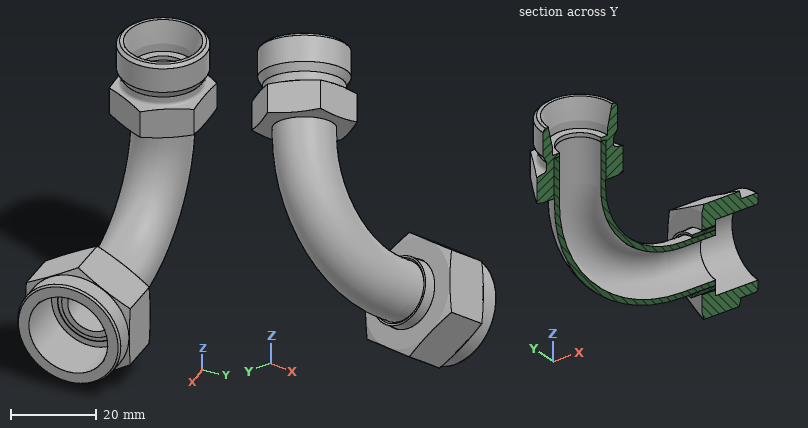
import cadquery as cq
import math


overall_length = 64.9
overall_height = 67.3

tube_diameter = 15.15
bore_diameter = 12.0
bend_radius = 30.0

stud_diameter = 22.0
stud_chamfer = 0.8
groove_diameter = 19.7
thread_depth = 7.35
groove_start_depth = 9.35
groove_end_depth = 11.0
stud_hex_top_depth = 12.0
stud_hex_height = 7.95
stud_hex_flats = 22.0
cone_mouth_diameter = 18.6
socket_diameter = 16.0
cone_depth = 5.9
socket_depth = 8.0
shoulder_thickness = 1.15

sleeve_start = 32.65
sleeve_diameter = 17.0
sleeve_chamfer = 0.44

nut_start = 35.65
nut_hex_length = 11.6
nut_hex_flats = 27.0
nut_collar_diameter = 26.8
nut_collar_chamfer = 0.5
nut_hole_diameter = 17.3
nut_thread_diameter = 20.4
nut_wall = 4.05

hex_chamfer_angle = math.radians(15)

stud_top = overall_height - nut_hex_flats / math.sqrt(3)
nut_end = overall_length - stud_hex_flats / math.sqrt(3)
stud_hex_top = stud_top - stud_hex_top_depth
stud_bottom = stud_hex_top - stud_hex_height
tube_seat = stud_top - socket_depth - shoulder_thickness
tube_end = nut_start + nut_wall


def turned_z(points):
    """Revolve a closed (radius, height) outline about the Z axis."""
    return cq.Workplane("XZ").polyline(points).close().revolve(360, (0, 0), (0, 1))


def hex_bar(flats, height):
    """Hexagon along Z with corners on X and both ends turned to a cone that touches the flats."""
    corner = flats / math.sqrt(3)
    drop = (corner - flats / 2) * math.tan(hex_chamfer_angle)
    prism = cq.Workplane("XY").polygon(6, 2 * corner).extrude(height)
    envelope = turned_z([
        (0, 0),
        (flats / 2, 0),
        (corner, drop),
        (corner, height - drop),
        (flats / 2, height),
        (0, height),
    ])
    return prism.intersect(envelope)


def along_x(body, start):
    """Lay a body built along Z onto the X axis, keeping its hexagon corners in the XZ plane."""
    return body.rotate((0, 0, 0), (0, 1, 0), 90).translate((start, 0, 0))


def make_stud():
    radius = stud_diameter / 2
    groove_radius = groove_diameter / 2
    groove_end = stud_top - groove_end_depth
    flare = groove_end - stud_hex_top
    flare_offset = flare * (1 - math.sqrt(0.5))
    turned = (
        cq.Workplane("XZ")
        .moveTo(0, stud_hex_top)
        .lineTo(groove_radius + flare, stud_hex_top)
        .threePointArc(
            (groove_radius + flare_offset, stud_hex_top + flare_offset),
            (groove_radius, groove_end),
        )
        .lineTo(groove_radius, stud_top - groove_start_depth)
        .lineTo(radius, stud_top - thread_depth)
        .lineTo(radius, stud_top - stud_chamfer)
        .lineTo(radius - stud_chamfer, stud_top)
        .lineTo(0, stud_top)
        .close()
        .revolve(360, (0, 0), (0, 1))
    )
    hexagon = hex_bar(stud_hex_flats, stud_hex_height).translate((0, 0, stud_bottom))
    cavity = turned_z([
        (0, stud_bottom),
        (tube_diameter / 2, stud_bottom),
        (tube_diameter / 2, tube_seat),
        (bore_diameter / 2, tube_seat),
        (bore_diameter / 2, stud_top - socket_depth),
        (socket_diameter / 2, stud_top - socket_depth),
        (socket_diameter / 2, stud_top - cone_depth),
        (cone_mouth_diameter / 2, stud_top),
        (0, stud_top),
    ])
    return turned.union(hexagon).cut(cavity)


def make_tube():
    bend_mid = bend_radius * (1 - math.sqrt(0.5))
    path = (
        cq.Workplane("XZ")
        .moveTo(0, tube_seat)
        .lineTo(0, bend_radius)
        .threePointArc((bend_mid, bend_mid), (bend_radius, 0))
        .lineTo(tube_end, 0)
    )
    section = cq.Workplane("XY", origin=(0, 0, tube_seat))
    section = section.circle(tube_diameter / 2).circle(bore_diameter / 2)
    return section.sweep(path)


def make_sleeve():
    length = tube_end - sleeve_start
    inner = tube_diameter / 2
    outer = sleeve_diameter / 2
    ring = turned_z([
        (inner + sleeve_chamfer, 0),
        (outer, 0),
        (outer, length),
        (inner, length),
        (inner, sleeve_chamfer),
    ])
    return along_x(ring, sleeve_start)


def make_nut():
    length = nut_end - nut_start
    radius = nut_collar_diameter / 2
    collar = turned_z([
        (0, nut_hex_length),
        (radius, nut_hex_length),
        (radius, length - nut_collar_chamfer),
        (radius - nut_collar_chamfer, length),
        (0, length),
    ])
    cavity = turned_z([
        (0, 0),
        (nut_hole_diameter / 2, 0),
        (nut_hole_diameter / 2, nut_wall),
        (nut_thread_diameter / 2, nut_wall),
        (nut_thread_diameter / 2, length),
        (0, length),
    ])
    blank = hex_bar(nut_hex_flats, nut_hex_length).union(collar)
    return along_x(blank.cut(cavity), nut_start)


stud = make_stud()
tube = make_tube()
sleeve = make_sleeve()
nut = make_nut()

result = cq.Compound.makeCompound([stud.val(), tube.val(), sleeve.val(), nut.val()])